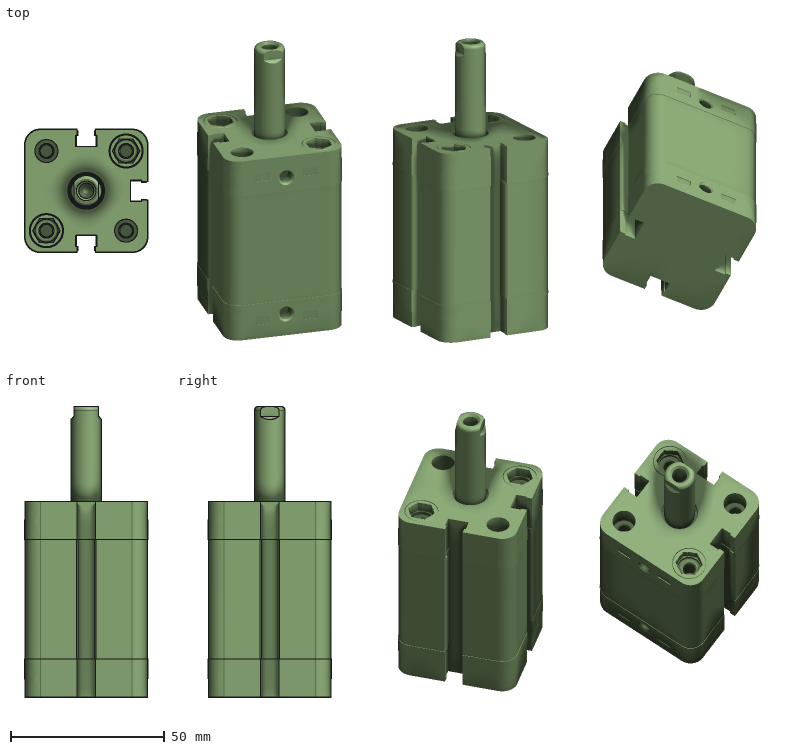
import cadquery as cq
import math

body_width = 40.0
cap_joint_width = 40.3
corner_radius = 5.0
cap_height = 12.5
barrel_height = 39.0
rod_projection = 31.0

slot_floor = 14.5
slot_lip = 18.1
cap_slot_throat = 6.0
cap_slot_width = 7.0
barrel_slot_throat = 5.5
barrel_slot_width = 6.5
barrel_slot_chamfer = 0.5
slot_angles = (-90, 0, 90)

screw_offset = 13.0
thread_diameter = 4.13
thread_mouth = 4.92
plain_hole_diameter = 7.5
plain_hole_depth = 8.0
head_recess_diameter = 11.1
head_diameter = 10.9
head_top_diameter = 10.48
head_gap_depth = 0.5
hex_across_corners = 9.0
hex_depth = 3.3
socket_round_diameter = 8.0
socket_bore_depth = 4.5

port_diameter = 4.13
port_mouth = 5.3
port_from_end = 7.6
port_depth = 5.0
port_clearance = 0.5
label_width = 5.0
label_height = 2.85
label_depth = 0.2
label_offset = 8.05
label_from_end = 6.3

rod_diameter = 10.0
rod_end_fillet = 1.3
rod_across_flats = 8.0
rod_flat_length = 3.3
rod_thread_diameter = 4.92
rod_thread_mouth = 6.4
rod_thread_depth = 12.0
drill_point_angle = 118.0
gland_mouth = 12.0
gland_diameter = 11.4
gland_depth = 1.0
gland_step_diameter = 10.9
gland_step_depth = 1.5
gland_lip_diameter = 10.48
gland_lip_depth = 2.0

joint_z = cap_height + barrel_height
top_z = joint_z + cap_height
rod_top_z = top_z + rod_projection
beyond = 1.0


def rounded_square(width, radius):
    outline = cq.Sketch().rect(width, width).vertices().fillet(radius)
    return cq.Workplane("XY").placeSketch(outline)


def tapered_hole(mouth, bore):
    """45 degree mouth of a downward hole, wide end at Z = 0."""
    depth = (mouth - bore) / 2
    return cq.Workplane(cq.Solid.makeCone(bore / 2, mouth / 2, depth)).translate((0, 0, -depth))


def downward_cylinder(diameter, depth):
    """Cylinder on the Z axis reaching down from Z = 0."""
    return cq.Workplane("XY").circle(diameter / 2).extrude(-depth)


def slot_block(depth, width, height):
    """Block reaching out along +X from the slot floor."""
    block = cq.Workplane("XY").box(depth, width, height, centered=(False, True, False))
    return block.translate((slot_floor, 0, 0))


def slot_cutter(throat, width, height, chamfer=0.0):
    """T-slot on the +X side, running up from Z = 0."""
    outer = cap_joint_width / 2 + beyond
    undercut = slot_block(slot_lip - slot_floor, width, height)
    throat_cut = slot_block(outer - slot_floor, throat, height)
    cutter = undercut.union(throat_cut)
    if chamfer:
        side = body_width / 2
        mouth = (
            cq.Workplane("XY")
            .moveTo(side - chamfer, -throat / 2)
            .lineTo(side, -throat / 2 - chamfer)
            .lineTo(side, throat / 2 + chamfer)
            .lineTo(side - chamfer, throat / 2)
            .close()
            .extrude(height)
        )
        cutter = cutter.union(mouth)
    return cutter


def cut_slots(body, cutter):
    for angle in slot_angles:
        body = body.cut(cutter.rotate((0, 0, 0), (0, 0, 1), angle))
    return body


def port_cutter():
    """Port along +X from the -X face, at Z = 0."""
    bore = downward_cylinder(port_diameter, port_depth)
    opening = downward_cylinder(port_mouth, port_clearance).translate((0, 0, port_clearance))
    cutter = bore.union(tapered_hole(port_mouth, port_diameter)).union(opening)
    return cutter.rotate((0, 0, 0), (0, 1, 0), -90)


def make_cap():
    """Plain cap with its outer end at Z = 0 and its wide joint face on top."""
    slope = (cap_joint_width - body_width) / 2 / cap_height
    draft = math.degrees(math.atan(slope))
    cap = rounded_square(body_width, corner_radius).extrude(cap_height, taper=-draft)
    cap = cut_slots(cap, slot_cutter(cap_slot_throat, cap_slot_width, cap_height))

    port_face_x = -body_width / 2 - slope * port_from_end
    cap = cap.cut(port_cutter().translate((port_face_x, 0, port_from_end)))

    label_face_x = -body_width / 2 - slope * label_from_end
    for side in (-1, 1):
        label = cq.Workplane("XY").box(2 * label_depth, label_width, label_height)
        cap = cap.cut(label.translate((label_face_x, side * label_offset, label_from_end)))
    return cap


def threaded_hole(floor_depth):
    """Chamfered screw thread bore from a floor below the face down to the joint."""
    bore = downward_cylinder(thread_diameter, cap_height - floor_depth)
    return bore.union(tapered_hole(thread_mouth, thread_diameter)).translate((0, 0, -floor_depth))


def plain_hole_cutter():
    clearance = downward_cylinder(plain_hole_diameter, plain_hole_depth)
    return clearance.union(threaded_hole(plain_hole_depth))


def hex_head_cutter():
    """Ring gap around a chamfered screw head, its hexagon socket and the thread below."""
    rim_chamfer = (head_diameter - head_top_diameter) / 2
    head = downward_cylinder(head_diameter, head_gap_depth).faces(">Z").chamfer(rim_chamfer)
    gap = downward_cylinder(head_recess_diameter, head_gap_depth).cut(head)
    hexagon = cq.Workplane("XY").polygon(6, hex_across_corners).extrude(-hex_depth)
    relief = downward_cylinder(socket_round_diameter, hex_depth)
    bore = downward_cylinder(plain_hole_diameter, socket_bore_depth)
    socket = hexagon.union(relief).union(bore)
    return gap.union(socket).union(threaded_hole(socket_bore_depth))


def gland_cutter():
    """Rod bore, wiper groove and its chamfered mouth."""
    cutter = downward_cylinder(rod_diameter, cap_height)
    cutter = cutter.union(downward_cylinder(gland_lip_diameter, gland_lip_depth))
    cutter = cutter.union(downward_cylinder(gland_step_diameter, gland_step_depth))
    cutter = cutter.union(downward_cylinder(gland_diameter, gland_depth))
    return cutter.union(tapered_hole(gland_mouth, gland_diameter))


def make_front_cap():
    cap = make_cap().mirror("XY").translate((0, 0, top_z))
    for side in (-1, 1):
        hex_place = (side * screw_offset, side * screw_offset, top_z)
        plain_place = (side * screw_offset, -side * screw_offset, top_z)
        cap = cap.cut(hex_head_cutter().translate(hex_place))
        cap = cap.cut(plain_hole_cutter().translate(plain_place))
    return cap.cut(gland_cutter().translate((0, 0, top_z)))


def make_barrel():
    barrel = rounded_square(body_width, corner_radius).extrude(barrel_height)
    cutter = slot_cutter(barrel_slot_throat, barrel_slot_width, barrel_height, barrel_slot_chamfer)
    return cut_slots(barrel, cutter).translate((0, 0, cap_height))


def rod_flat_cutter():
    """Spanner flat on the +X side with a 45 degree run-out, rod end at Z = 0."""
    flat_x = rod_across_flats / 2
    outer_x = rod_diameter / 2 + beyond
    runout = outer_x - flat_x
    return (
        cq.Workplane("XZ")
        .moveTo(flat_x, beyond)
        .lineTo(flat_x, -rod_flat_length)
        .lineTo(outer_x, -rod_flat_length - runout)
        .lineTo(outer_x, beyond)
        .close()
        .extrude(rod_diameter / 2, both=True)
    )


def rod_thread_cutter():
    """Female thread bore with a chamfered mouth and a drill point."""
    radius = rod_thread_diameter / 2
    point_depth = radius / math.tan(math.radians(drill_point_angle / 2))
    point = cq.Workplane(cq.Solid.makeCone(0, radius, point_depth))
    point = point.translate((0, 0, -rod_thread_depth - point_depth))
    bore = downward_cylinder(rod_thread_diameter, rod_thread_depth)
    return bore.union(point).union(tapered_hole(rod_thread_mouth, rod_thread_diameter))


def make_rod():
    """Piston rod standing on the barrel and passing through the front cap."""
    rod = downward_cylinder(rod_diameter, rod_top_z - joint_z)
    rod = rod.faces(">Z").edges().fillet(rod_end_fillet)
    for angle in (0, 180):
        rod = rod.cut(rod_flat_cutter().rotate((0, 0, 0), (0, 0, 1), angle))
    return rod.cut(rod_thread_cutter()).translate((0, 0, rod_top_z))


rear_cap = make_cap()
barrel = make_barrel()
front_cap = make_front_cap()
rod = make_rod()

bodies = (rear_cap, barrel, front_cap, rod)
body_solids = [body.solids().val() for body in bodies]
result = cq.Compound.makeCompound([*body_solids])